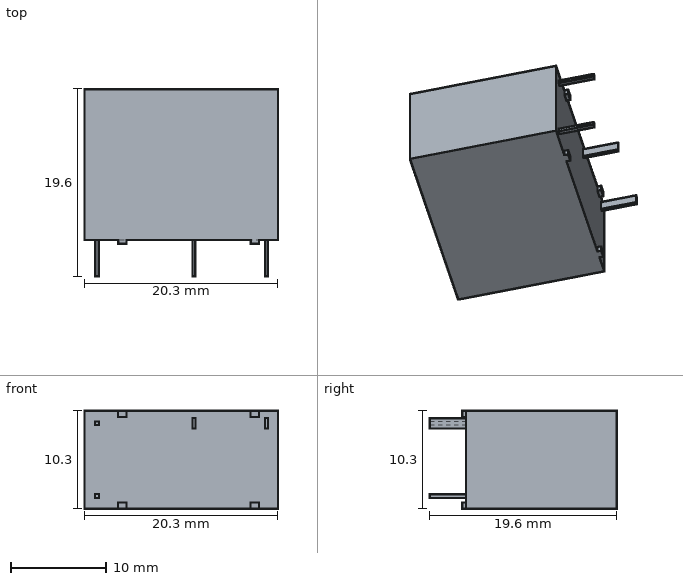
import cadquery as cq

body_width = 20.3
body_depth = 15.81
body_height = 10.3

foot_width = 0.9
foot_height = 0.7
foot_length = 0.4
left_foot_x = -6.17
foot_pitch = 13.86

pin_length = 3.8
coil_pin_side = 0.4
contact_pin_thickness = 0.3
contact_pin_height = 1.1
coil_pin_x = -8.83
coil_to_contact_pitch = 10.15
contact_pitch = 7.61
pin_row_z = 3.82


def peg(x, z, width, height, length):
    """Rectangular bar standing out from the mounting face toward -Y."""
    return (
        cq.Workplane("XZ")
        .center(x, z)
        .rect(width, height)
        .extrude(length)
    )


result = cq.Workplane("XZ").rect(body_width, body_height).extrude(-body_depth)

foot_z = (body_height - foot_height) / 2
for x in (left_foot_x, left_foot_x + foot_pitch):
    for z in (-foot_z, foot_z):
        result = result.union(peg(x, z, foot_width, foot_height, foot_length))

for z in (-pin_row_z, pin_row_z):
    result = result.union(peg(coil_pin_x, z, coil_pin_side, coil_pin_side, pin_length))

first_contact_x = coil_pin_x + coil_to_contact_pitch
for x in (first_contact_x, first_contact_x + contact_pitch):
    result = result.union(peg(x, pin_row_z, contact_pin_thickness, contact_pin_height, pin_length))